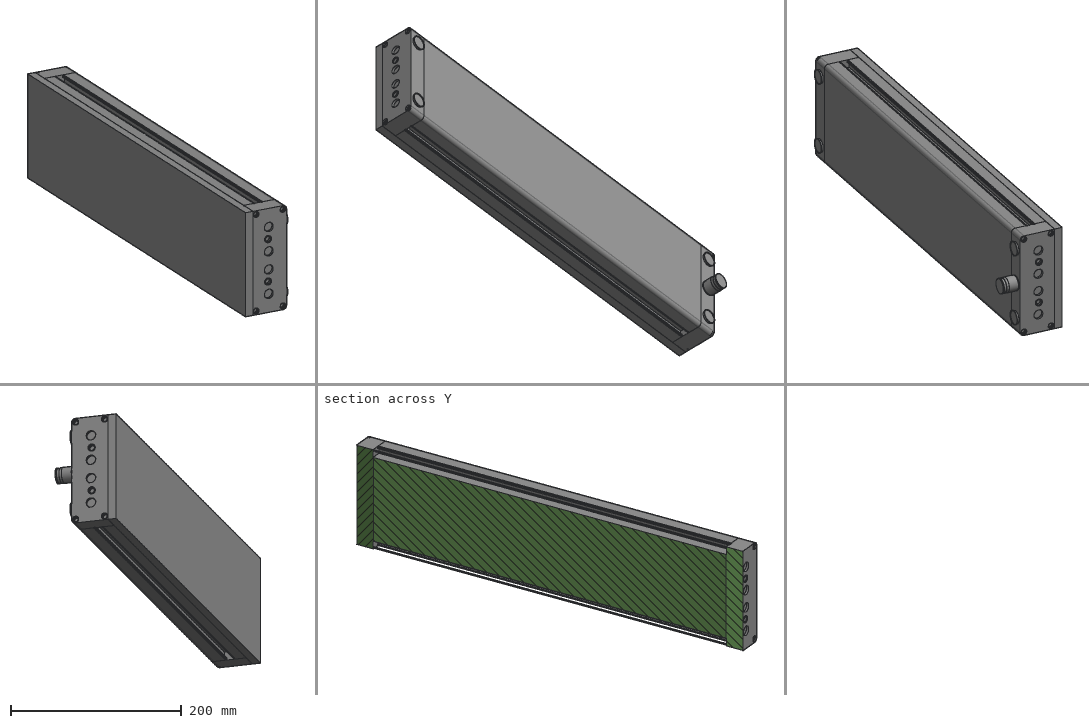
import cadquery as cq

LENGTH = 532.0
DEPTH = 55.0
HEIGHT = 130.0
PLATE_THICKNESS = 10.0
CAP_LENGTH = 23.0
BACK_EDGE_RADIUS = 5.0

SLOT_Y = 29.8
SLOT_STEP_WIDTH = 11.2
SLOT_STEP_DEPTH = 1.0
SLOT_OPENING = 8.0
SLOT_CAVITY_WIDTH = 14.0
SLOT_CAVITY_TOP = 2.5
SLOT_DEPTH = 10.0

PORT_Y = 31.1
SMALL_PORT_Y = 30.3
PORT_GROUP_Z = 26.5
PORT_SPACING = 30.4
PORT_DIAMETER = 11.5
PORT_DEPTH = 3.0
SMALL_PORT_DIAMETER = 8.6
SMALL_PORT_BORE = 6.4
SMALL_PORT_STEP = 1.0
SMALL_PORT_DEPTH = 4.0

SCREW_Y_POSITIONS = (14.4, 50.0)
SCREW_Z = 60.3
SCREW_DIAMETER = 7.2
SCREW_BORE = 5.0
SCREW_STEP = 2.0
SCREW_DEPTH = 4.0

PLUG_Z = 45.0
PLUG_REACH = 3.0
PLUG_RIM_DIAMETER = 18.0
PLUG_RIM_THICKNESS = 0.5
PLUG_NECK_DIAMETER = 16.4

CONNECTOR_STEPS = (
    (56.0, 18.0),
    (68.2, 19.2),
    (71.4, 18.8),
    (74.6, 17.4),
    (76.2, 18.8),
)

CAP_CENTER_X = (LENGTH - CAP_LENGTH) / 2
MIRRORED = (-1, 1)


def housing_section(length, center_x):
    """Block behind the front plate, with its two long back edges rounded."""
    return (
        cq.Workplane("XY")
        .box(length, DEPTH - PLATE_THICKNESS, HEIGHT)
        .edges("|X and >Y")
        .fillet(BACK_EDGE_RADIUS)
        .translate((center_x, (DEPTH + PLATE_THICKNESS) / 2, 0))
    )


def disc_along_y(x, z, start_y, end_y, diameter):
    """Cylinder standing on the back of a cap, between two Y positions."""
    solid = cq.Solid.makeCylinder(
        diameter / 2, end_y - start_y, cq.Vector(x, start_y, z), cq.Vector(0, 1, 0)
    )
    return cq.Workplane(obj=solid)


def end_recess(side, y, z, diameter, depth):
    """Round cutter going into the outer end face of the cap on the given side."""
    solid = cq.Solid.makeCylinder(
        diameter / 2, depth, cq.Vector(side * LENGTH / 2, y, z), cq.Vector(-side, 0, 0)
    )
    return cq.Workplane(obj=solid)


def make_front_plate():
    plate = cq.Workplane("XY").box(LENGTH, PLATE_THICKNESS, HEIGHT)
    return plate.translate((0, PLATE_THICKNESS / 2, 0))


def make_profile():
    length = LENGTH - 2 * CAP_LENGTH
    profile = housing_section(length, 0)
    slot_layers = (
        (SLOT_STEP_WIDTH, 0, SLOT_STEP_DEPTH),
        (SLOT_OPENING, SLOT_STEP_DEPTH, SLOT_CAVITY_TOP),
        (SLOT_CAVITY_WIDTH, SLOT_CAVITY_TOP, SLOT_DEPTH),
    )
    for side in MIRRORED:
        for width, start_depth, end_depth in slot_layers:
            center_z = side * (HEIGHT - start_depth - end_depth) / 2
            layer = cq.Workplane("XY").box(length, width, end_depth - start_depth)
            profile = profile.cut(layer.translate((0, SLOT_Y, center_z)))
    return profile


def make_end_cap(side):
    center_x = side * CAP_CENTER_X
    cap = housing_section(CAP_LENGTH, center_x)
    rim_start = DEPTH + PLUG_REACH - PLUG_RIM_THICKNESS
    for end in MIRRORED:
        plug_z = end * PLUG_Z
        cap = cap.union(disc_along_y(center_x, plug_z, DEPTH, rim_start, PLUG_NECK_DIAMETER))
        cap = cap.union(
            disc_along_y(center_x, plug_z, rim_start, DEPTH + PLUG_REACH, PLUG_RIM_DIAMETER)
        )

        group_z = end * PORT_GROUP_Z
        cap = cap.cut(end_recess(side, SMALL_PORT_Y, group_z, SMALL_PORT_DIAMETER, SMALL_PORT_STEP))
        cap = cap.cut(end_recess(side, SMALL_PORT_Y, group_z, SMALL_PORT_BORE, SMALL_PORT_DEPTH))
        for offset in MIRRORED:
            port_z = group_z + offset * PORT_SPACING / 2
            cap = cap.cut(end_recess(side, PORT_Y, port_z, PORT_DIAMETER, PORT_DEPTH))

        for screw_y in SCREW_Y_POSITIONS:
            cap = cap.cut(end_recess(side, screw_y, end * SCREW_Z, SCREW_DIAMETER, SCREW_STEP))
            cap = cap.cut(end_recess(side, screw_y, end * SCREW_Z, SCREW_BORE, SCREW_DEPTH))
    return cap


def add_connector(cap, center_x):
    start_y = DEPTH
    for end_y, diameter in CONNECTOR_STEPS:
        cap = cap.union(disc_along_y(center_x, 0, start_y, end_y, diameter))
        start_y = end_y
    return cap


front_plate = make_front_plate()
profile = make_profile()
connector_cap = add_connector(make_end_cap(-1), -CAP_CENTER_X)
plain_cap = make_end_cap(1)

result = cq.Compound.makeCompound(
    [front_plate.val(), profile.val(), connector_cap.val(), plain_cap.val()]
)